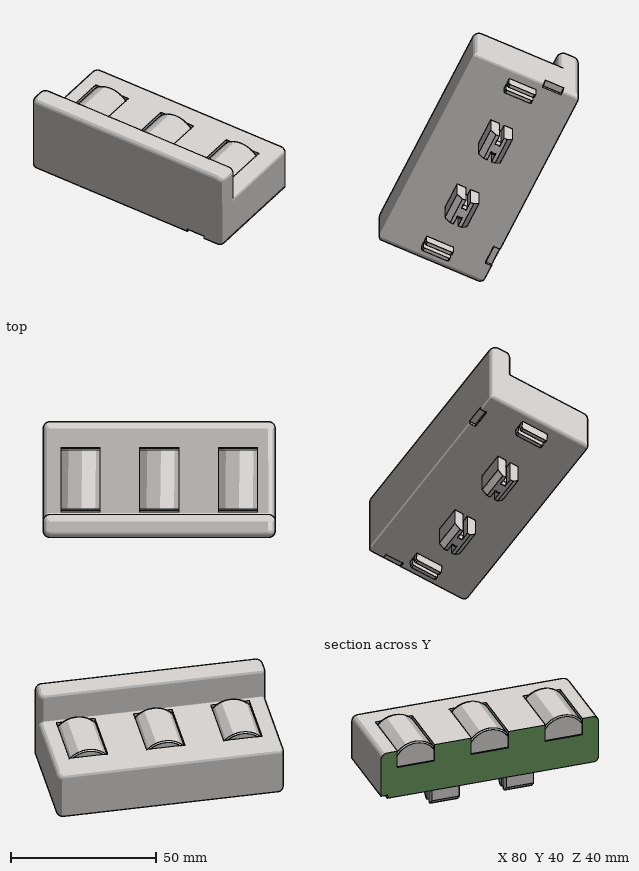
import cadquery as cq

LENGTH = 80.0
DEPTH = 40.0
WALL_HEIGHT = 30.0
LEDGE_HEIGHT = 18.0
WALL_THICKNESS = 8.0
OUTER_RADIUS = 2.5
BOTTOM_END_RADIUS = 2.0
BOTTOM_LONG_RADIUS = 0.5
INNER_CORNER_RADIUS = 0.5

ROLLER_PITCH = 27.1
ROLLER_RADIUS = 8.5
ROLLER_RISE = 2.1
ROLLER_LENGTH = 21.3
ROLLER_EDGE_CHAMFER = 0.5
WINDOW_WIDTH = 13.5
WINDOW_LENGTH = 22.2

FOOT_SPACING = 27.2
FOOT_WIDTH = 10.0
FOOT_DEPTH = 8.3
FOOT_HEIGHT = 10.0
FOOT_CHAMFER = 2.0
FOOT_SLOT_WIDTH = 1.8
FOOT_POST_RADIUS = 2.7
FOOT_POST_CHAMFER = 1.0

BLADE_PAIR_CENTER = 33.4
BLADE_PITCH = 2.5
BLADE_ROOT_THICKNESS = 2.0
BLADE_TIP_THICKNESS = 1.2
BLADE_WIDTH = 10.2
BLADE_HEIGHT = 3.5
BLADE_TIP_CHAMFER = 0.5

NOTCH_WIDTH = 7.0
NOTCH_HEIGHT = 1.2
NOTCH_DEPTH = 2.5
FRONT_NOTCH_X = 28.6
END_NOTCH_Y = -10.2

FRONT_Y = -DEPTH / 2
WALL_BACK_Y = FRONT_Y + WALL_THICKNESS
END_X = -LENGTH / 2


def box_on_floor(length, depth, height):
    return cq.Workplane("XY").box(length, depth, height, centered=(True, True, False))


def make_body():
    base_depth = DEPTH - WALL_THICKNESS / 2
    base = box_on_floor(LENGTH, base_depth, LEDGE_HEIGHT)
    base = base.edges("(|Z and >Y) or (>Z and |Y) or (>Z and >Y)").fillet(OUTER_RADIUS)
    base = base.translate((0, (DEPTH - base_depth) / 2, 0))

    wall = box_on_floor(LENGTH, WALL_THICKNESS, WALL_HEIGHT).edges("|Z or >Z").fillet(OUTER_RADIUS)
    wall = wall.translate((0, FRONT_Y + WALL_THICKNESS / 2, 0))

    body = base.union(wall)
    inner_corner = cq.selectors.NearestToPointSelector((0, WALL_BACK_Y, LEDGE_HEIGHT))
    body = body.edges(inner_corner).fillet(INNER_CORNER_RADIUS)

    rounded_ends = box_on_floor(LENGTH, DEPTH, WALL_HEIGHT).edges("<Z and |Y").fillet(BOTTOM_END_RADIUS)
    body = body.intersect(rounded_ends)
    return body.edges("<Z and |X").fillet(BOTTOM_LONG_RADIUS)


def add_roller(body, x):
    axis_z = LEDGE_HEIGHT + ROLLER_RISE - ROLLER_RADIUS
    window = box_on_floor(WINDOW_WIDTH, WINDOW_LENGTH, LEDGE_HEIGHT - axis_z).translate((x, 0, axis_z))
    roller = (
        cq.Workplane("XZ", origin=(x, 0, axis_z))
        .circle(ROLLER_RADIUS)
        .extrude(ROLLER_LENGTH / 2, both=True)
        .faces("|Y")
        .chamfer(ROLLER_EDGE_CHAMFER)
    )
    return body.cut(window).union(roller)


def make_foot(x):
    slab = box_on_floor(FOOT_WIDTH, FOOT_DEPTH, FOOT_HEIGHT).edges("<Z and |X").chamfer(FOOT_CHAMFER)
    slot = box_on_floor(FOOT_WIDTH, FOOT_SLOT_WIDTH, FOOT_HEIGHT)
    post = cq.Workplane("XY").circle(FOOT_POST_RADIUS).extrude(FOOT_HEIGHT)
    post = post.faces("<Z").chamfer(FOOT_POST_CHAMFER)
    return slab.cut(slot).union(post).translate((x, 0, -FOOT_HEIGHT))


def make_blade(x):
    half_root = BLADE_ROOT_THICKNESS / 2
    half_tip = BLADE_TIP_THICKNESS / 2
    outline = [(-half_root, 0), (half_root, 0), (half_tip, -BLADE_HEIGHT), (-half_tip, -BLADE_HEIGHT)]
    blade = cq.Workplane("XZ").polyline(outline).close().extrude(BLADE_WIDTH / 2, both=True)
    return blade.edges("<Z and |X").chamfer(BLADE_TIP_CHAMFER).translate((x, 0, 0))


def cut_notches(body):
    front_notch = box_on_floor(NOTCH_WIDTH, 2 * NOTCH_DEPTH, NOTCH_HEIGHT)
    end_notch = box_on_floor(2 * NOTCH_DEPTH, NOTCH_WIDTH, NOTCH_HEIGHT)
    body = body.cut(front_notch.translate((FRONT_NOTCH_X, FRONT_Y, 0)))
    return body.cut(end_notch.translate((END_X, END_NOTCH_Y, 0)))


result = cut_notches(make_body())

for roller_x in (-ROLLER_PITCH, 0, ROLLER_PITCH):
    result = add_roller(result, roller_x)

for side in (-1, 1):
    result = result.union(make_foot(side * FOOT_SPACING / 2))
    for offset in (-BLADE_PITCH / 2, BLADE_PITCH / 2):
        result = result.union(make_blade(side * BLADE_PAIR_CENTER + offset))